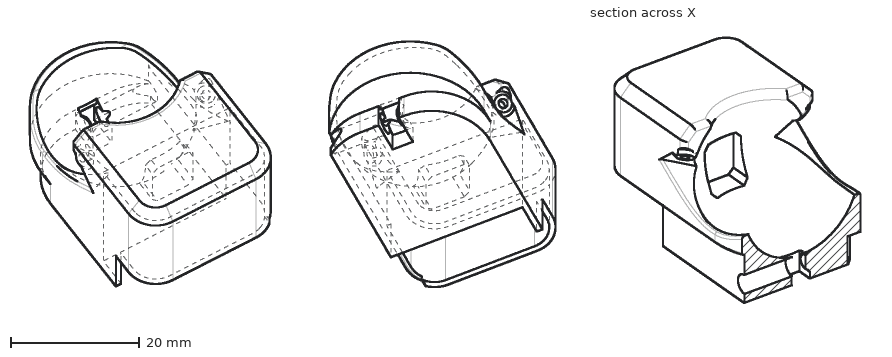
import cadquery as cq
import math

length = 42.8
width = 25.4
height = 25.25
side_y = width / 2

cup_bottom = 5.1
block_bottom = 7.9
ledge_bottom = 8.75

block_front = 21.05
corner_radius = 5.0
top_chamfer = 2.0
crown_fillet = 1.0

base_front = 4.95
base_back = 34.1
base_side_y = 11.0
base_radius = 10.1
base_flat_y_max = 5.05
ledge_fillet = 0.5

ball_x = 14.2
ball_z = 15.9
ball_radius = 12.9

rim_height = 13.6
rim_flat_end = 3.85
rim_shoulder = (6.2, 12.8)
rim_low_point = (14.12, 10.75)
ramp_point = (21.4, 13.23)
ramp_slope = 0.66
apex_x = 27.2
apex_z = 17.15
rim_fillet = 0.4

notch_azimuth = 43.0
notch_elevation = 41.0
boss_x = 22.35
boss_y = 11.45
boss_z = 19.4
boss_tip_radius = 1.4
boss_hole_diameter = 1.4
boss_hole_depth = 2.0
boss_length = 1.05

slot_front = 5.7
slot_back = 10.1
slot_y_min = -1.65
slot_y_max = 1.8
cross_hole_x = 7.28
cross_hole_z = 3.4
cross_hole_diameter = 3.4
stop_tip_radius = 1.25
stop_height = 0.9

window_y_min = -2.6
window_y_max = 4.92
window_z_min = 8.55
window_z_max = 17.08
window_chamfer = 0.95
hollow_front = 28.9
wall = 1.0

oversize = 3 * length


def box(x_min, x_max, y_min, y_max, z_min, z_max):
    """Axis-aligned box given by its limits."""
    size = (x_max - x_min, y_max - y_min, z_max - z_min)
    return cq.Workplane("XY").box(*size, centered=False).translate((x_min, y_min, z_min))


def make_socket():
    """Ball that hollows out the cup and the front of the block."""
    ball = cq.Workplane("XY").sphere(ball_radius)
    return ball.rotate((0, 0, 0), (0, 1, 0), 90).translate((ball_x, 0, ball_z))


def make_cup():
    """Round-fronted body that carries the socket, tall enough for the rim to be cut from it."""
    front = cq.Workplane("XY").circle(side_y).extrude(apex_z - cup_bottom)
    front = front.translate((side_y, 0, cup_bottom))
    return front.union(box(side_y, base_back, -side_y, side_y, cup_bottom, apex_z))


def make_block():
    """Tall block with rounded back corners and a top chamfered on all sides but the front."""
    block = box(block_front, length, -side_y, side_y, block_bottom, height)
    block = block.edges("|Z and >X").fillet(corner_radius)
    return block.faces(">Z").edges("not <X").chamfer(top_chamfer)


def crown_edges():
    """Selector of the front edges of the block and of the socket edge on its top."""
    edges = cq.NearestToPointSelector((block_front, 0, height))
    half_chamfer = top_chamfer / 2
    for side in (-1, 1):
        top_edge = (block_front, side * (side_y - 2 * top_chamfer), height)
        chamfer_edge = (block_front, side * (side_y - half_chamfer), height - half_chamfer)
        side_edge = (block_front, side * side_y, height - top_chamfer - half_chamfer)
        for point in (top_edge, chamfer_edge, side_edge):
            edges = edges + cq.NearestToPointSelector(point)
    return edges


def make_base():
    """Lower base with a flat nose and the same rounding on each front corner."""
    center_x = base_front + base_radius
    flat_y_min = -side_y + base_radius
    right_offset = base_radius * math.sqrt(0.5)
    left_angle = math.asin((base_side_y - base_flat_y_max) / base_radius)

    def left_arc_point(angle):
        return (
            center_x - base_radius * math.cos(angle),
            base_flat_y_max + base_radius * math.sin(angle),
        )

    base = (
        cq.Workplane("XY")
        .moveTo(base_back, -side_y)
        .lineTo(center_x, -side_y)
        .threePointArc((center_x - right_offset, flat_y_min - right_offset), (base_front, flat_y_min))
        .lineTo(base_front, base_flat_y_max)
        .threePointArc(left_arc_point(left_angle / 2), left_arc_point(left_angle))
        .lineTo(base_back, base_side_y)
        .close()
        .extrude(block_bottom)
    )
    return base.cut(box(0, side_y, -side_y, side_y, cup_bottom, block_bottom))


def notch_inward(side):
    """Unit normal of the upper notch face on one side, pointing into the block."""
    azimuth = math.radians(notch_azimuth)
    elevation = math.radians(notch_elevation)
    return cq.Vector(
        math.cos(elevation) * math.cos(azimuth),
        -side * math.cos(elevation) * math.sin(azimuth),
        math.sin(elevation),
    )


def make_crown():
    """Space kept above the notch faces and behind the front of the block."""
    crown = box(block_front, oversize, -side_y, side_y, 0, oversize)
    for side in (-1, 1):
        face = cq.Plane(origin=(apex_x, side * side_y, apex_z), normal=notch_inward(side))
        crown = crown.intersect(cq.Workplane(face).rect(oversize, oversize).extrude(oversize))
    return crown


def make_boss(side):
    """Boss that widens at 45 degrees from its tip into the notch face."""
    root_radius = boss_tip_radius + boss_length
    tip = cq.Vector(boss_x, side * boss_y, boss_z)
    cone = cq.Solid.makeCone(boss_tip_radius, root_radius, boss_length, tip, notch_inward(side))
    return cq.Workplane(cone)


def make_boss_hole(side):
    """Blind screw hole from the boss tip."""
    tip = cq.Vector(boss_x, side * boss_y, boss_z)
    radius = boss_hole_diameter / 2
    hole = cq.Solid.makeCylinder(radius, boss_hole_depth, tip, notch_inward(side))
    return cq.Workplane(hole)


def make_opening():
    """Space above the rim, open to both sides, leaving the crown and its bosses."""
    opening = (
        cq.Workplane("XZ", origin=(0, side_y, 0))
        .moveTo(0, rim_height)
        .lineTo(rim_flat_end, rim_height)
        .spline(
            [rim_shoulder, rim_low_point, ramp_point, (apex_x, apex_z)],
            tangents=[(1, 0), (1, ramp_slope)],
            includeCurrent=True,
        )
        .lineTo(apex_x, oversize)
        .lineTo(0, oversize)
        .close()
        .extrude(width)
    )
    opening = opening.cut(make_crown())
    for side in (-1, 1):
        opening = opening.cut(make_boss(side))
    return opening


def make_slot():
    """Vertical slot, open to the front below the cup, with the tapered stop left standing."""
    slot = box(slot_front, slot_back, slot_y_min, slot_y_max, 0, ball_z)
    slot = slot.union(box(0, slot_front, slot_y_min, slot_y_max, 0, cup_bottom))
    stop = cq.Solid.makeCone(
        stop_tip_radius + stop_height,
        stop_tip_radius,
        stop_height,
        cq.Vector(cross_hole_x, slot_y_min, cross_hole_z),
        cq.Vector(0, 1, 0),
    )
    return slot.cut(cq.Workplane(stop))


def make_cross_hole():
    """Hole from the stepped side into the slot."""
    return (
        cq.Workplane("XZ", origin=(cross_hole_x, side_y, cross_hole_z))
        .circle(cross_hole_diameter / 2)
        .extrude(side_y - slot_y_max)
    )


def make_window():
    """Passage with chamfered corners from the socket to the hollow."""
    window = box(ball_x, hollow_front, window_y_min, window_y_max, window_z_min, window_z_max)
    return window.edges("|X").chamfer(window_chamfer)


def make_hollow():
    """Space inside the block, open at the underside."""
    inner_y = side_y - wall
    hollow = box(hollow_front, length - wall, -inner_y, inner_y, 0, height - top_chamfer)
    return hollow.edges("|Z and >X").fillet(corner_radius - wall)


body = make_cup().union(make_block()).union(make_base())
body = body.cut(box(0, length, base_side_y, side_y, 0, ledge_bottom))
ledge_middle_x = (side_y + length - corner_radius) / 2
ledge_edge = cq.NearestToPointSelector((ledge_middle_x, side_y, ledge_bottom))
body = body.edges(ledge_edge).fillet(ledge_fillet)

body = body.cut(make_opening())
body = body.edges(cq.NearestToPointSelector((0, 0, rim_height))).fillet(rim_fillet)
body = body.cut(make_socket())
body = body.edges(crown_edges()).fillet(crown_fillet)

for boss_side in (-1, 1):
    body = body.cut(make_boss_hole(boss_side))

for cutter in (make_slot(), make_cross_hole(), make_window(), make_hollow()):
    body = body.cut(cutter)

result = body